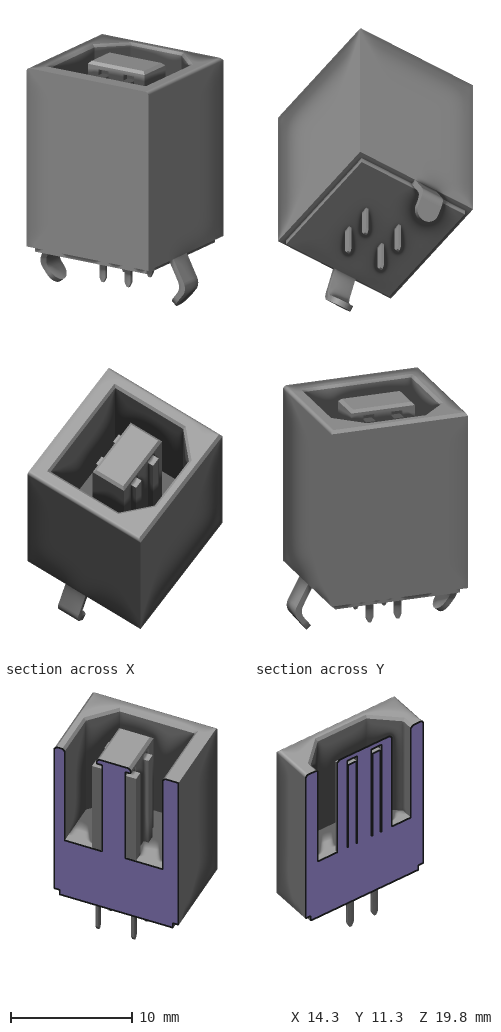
import cadquery as cq
import math


body_width = 12.04
body_depth = 11.3
body_height = 15.5
top_round = 0.3
back_chamfer = 0.25
skirt_inset = 0.5
skirt_height = 0.5

opening_width = 9.9
opening_back = 4.9
opening_front = -4.42
opening_corner_x = 2.6
opening_corner_y = 2.7
opening_depth = 9.9
lead_in = 0.22

tongue_width = 5.6
tongue_depth = 3.13
tongue_y = 0.24
tongue_chamfer = 0.24
contact_x = 1.25
contact_width = 0.83
contact_proud = 0.44
contact_drop = 1.0
slot_width = 1.0
slot_sink = 0.5
slot_drop = 0.55

pin_width = 0.6
pin_thickness = 0.25
pin_row_offset = 1.62
pin_reach = 3.37
pin_taper_width = 0.2
pin_taper_height = 0.4

overall_width = 14.3
overall_height = 19.8
clip_width = 2.0
clip_thickness = 0.5
clip_y = -0.85
clip_bend_radius = 0.99
clip_end_radius = 0.99
clip_arm_angle = math.radians(28)
clip_foot_angle = math.radians(39)

floor_z = body_height - opening_depth
tongue_half_depth = tongue_depth / 2


def make_housing():
    """Block with two rounded top edges and a chamfered back one, standing on a smaller skirt."""
    block = cq.Workplane("XY").box(body_width, body_depth, body_height, centered=(True, True, False))
    block = block.edges(">Z and >Y").chamfer(back_chamfer)
    block = block.faces(">Z").edges("|Y").fillet(top_round)
    skirt = cq.Workplane("XY").rect(body_width - 2 * skirt_inset, body_depth - 2 * skirt_inset)
    return block.union(skirt.extrude(-skirt_height))


def make_opening():
    """Six-sided pocket with a sloped lead-in around its mouth."""
    half_width = opening_width / 2
    outline = [
        (-half_width, opening_front),
        (half_width, opening_front),
        (half_width, opening_corner_y),
        (opening_corner_x, opening_back),
        (-opening_corner_x, opening_back),
        (-half_width, opening_corner_y),
    ]
    mouth = cq.Workplane("XY").workplane(offset=body_height).polyline(outline).close()
    lead = mouth.extrude(-lead_in, taper=45)
    walls = lead.faces("<Z").wires().toPending().extrude(floor_z - body_height + lead_in)
    return lead.union(walls)


def make_tongue():
    """Chamfered block standing on the pocket floor, flush with the top of the housing."""
    block = cq.Workplane("XY").box(tongue_width, tongue_depth, opening_depth, centered=(True, True, False))
    block = block.faces(">Z").chamfer(tongue_chamfer)
    return block.translate((0, tongue_y, floor_z))


def upright_bar(x, side, width, inner_y, outer_y, top_z):
    """Bar on one long side of the tongue, from the pocket floor up to top_z."""
    bar = cq.Workplane("XY").box(width, outer_y - inner_y, top_z - floor_z, centered=(True, True, False))
    return bar.translate((x, tongue_y + side * (inner_y + outer_y) / 2, floor_z))


def make_slot(x, side):
    """Groove in the side of the tongue that holds one contact."""
    back = tongue_half_depth - slot_sink
    return upright_bar(x, side, slot_width, back, tongue_half_depth, body_height - slot_drop)


def make_contact(x, side):
    """Contact bar standing proud of the tongue."""
    back = tongue_half_depth - slot_sink
    front = tongue_half_depth + contact_proud
    return upright_bar(x, side, contact_width, back, front, body_height - contact_drop)


def make_pin(x, side):
    """Flat solder pin with a tapered tip."""
    half_width = pin_width / 2
    tip_half_width = half_width - pin_taper_width
    shoulder_z = -pin_reach + pin_taper_height
    outline = [
        (-half_width, 0),
        (-half_width, shoulder_z),
        (-tip_half_width, -pin_reach),
        (tip_half_width, -pin_reach),
        (half_width, shoulder_z),
        (half_width, 0),
    ]
    pin = cq.Workplane("XZ").polyline(outline).close().extrude(pin_thickness / 2, both=True)
    return pin.translate((x, tongue_y + side * pin_row_offset, 0))


def make_clip():
    """Left clip: a sloped arm, a bend and a foot with a round end."""
    half_turn = (clip_arm_angle + clip_foot_angle) / 2
    bisector = (clip_foot_angle - clip_arm_angle) / 2

    knee_to_bend = clip_bend_radius / math.cos(half_turn)
    knee_x = clip_bend_radius - overall_width / 2 - knee_to_bend * math.cos(bisector)
    knee_z = -(-body_width / 2 - knee_x) / math.tan(clip_arm_angle)

    knee_offset = clip_thickness / math.cos(half_turn)
    inner_knee_x = knee_x + knee_offset * math.cos(bisector)
    inner_knee_z = knee_z + knee_offset * math.sin(bisector)

    lowest_z = body_height - overall_height
    tip_x = knee_x + (knee_z - lowest_z) * math.tan(clip_foot_angle)
    inner_tip_x = tip_x + clip_thickness * math.cos(clip_foot_angle)
    inner_tip_z = lowest_z + clip_thickness * math.sin(clip_foot_angle)

    outline = [
        (-body_width / 2, 0),
        (knee_x, knee_z),
        (tip_x, lowest_z),
        (inner_tip_x, inner_tip_z),
        (inner_knee_x, inner_knee_z),
        (-body_width / 2 + clip_thickness / math.cos(clip_arm_angle), 0),
    ]
    strip = cq.Workplane("XZ").polyline(outline).close().extrude(clip_width / 2, both=True)
    for x, z in ((knee_x, knee_z), (inner_knee_x, inner_knee_z)):
        knee_edge = cq.selectors.NearestToPointSelector((x, 0, z))
        strip = strip.edges("|Y").edges(knee_edge).fillet(clip_bend_radius)

    tip_box = cq.selectors.BoxSelector(
        (tip_x, -clip_width, lowest_z),
        (inner_tip_x, clip_width, inner_tip_z),
    )
    strip = strip.edges(tip_box).edges("<Y or >Y").fillet(clip_end_radius)
    return strip.translate((0, clip_y, 0))


result = make_housing().cut(make_opening()).union(make_tongue())
for x in (-contact_x, contact_x):
    for side in (-1, 1):
        result = result.cut(make_slot(x, side))
        result = result.union(make_contact(x, side))
        result = result.union(make_pin(x, side))

clip = make_clip()
result = result.union(clip).union(clip.mirror("YZ"))